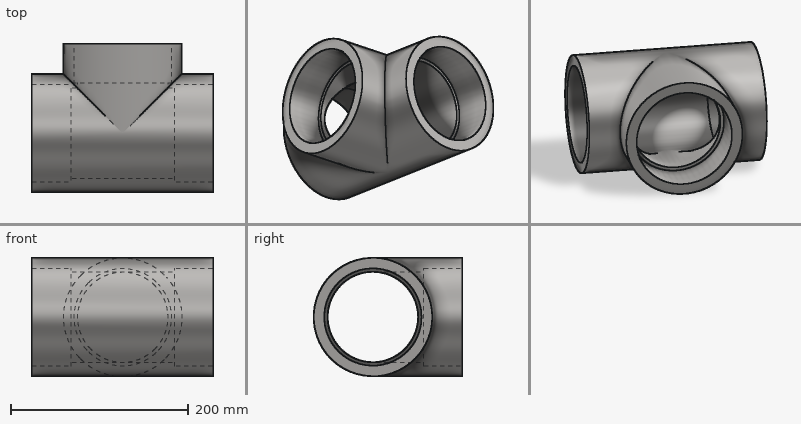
import cadquery as cq

run_length = 205.0
branch_length = 101.0
outer_diameter = 134.0
socket_diameter = 110.0
socket_depth = 44.0
bore_diameter = 102.0

half_run = run_length / 2


def run_cylinder(diameter, start_x, length):
    """Cylinder on the run axis, growing toward +X from start_x."""
    return cq.Workplane("YZ").workplane(offset=start_x).circle(diameter / 2).extrude(length)


def branch_cylinder(diameter, start_y, end_y):
    """Cylinder on the branch axis, between two positions along Y."""
    return cq.Workplane("XZ").workplane(offset=-end_y).circle(diameter / 2).extrude(end_y - start_y)


def tee_body():
    run = run_cylinder(outer_diameter, -half_run, run_length)
    return run.union(branch_cylinder(outer_diameter, 0, branch_length))


def bores():
    run = run_cylinder(bore_diameter, -half_run, run_length)
    return run.union(branch_cylinder(bore_diameter, 0, branch_length))


def sockets():
    """One socket for each end of the run and one for the branch."""
    left = run_cylinder(socket_diameter, -half_run, socket_depth)
    right = run_cylinder(socket_diameter, half_run - socket_depth, socket_depth)
    branch = branch_cylinder(socket_diameter, branch_length - socket_depth, branch_length)
    return [left, right, branch]


result = tee_body().cut(bores())
for socket in sockets():
    result = result.cut(socket)